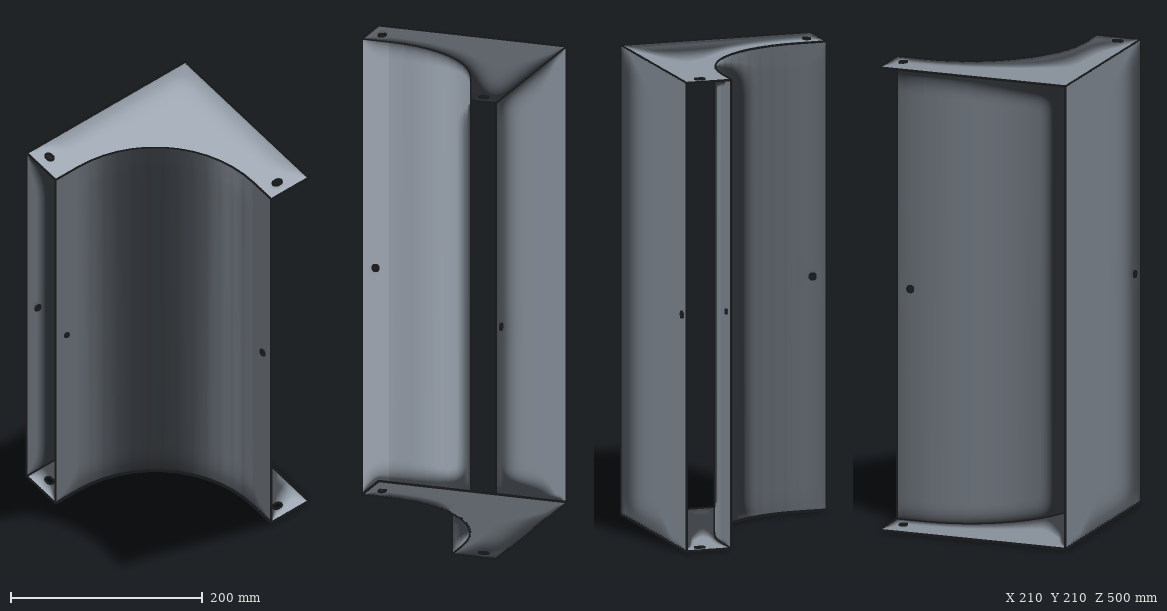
import cadquery as cq

side = 210.0
height = 500.0
sheet = 1.0

arm_width = 50.0
flat_length = 30.0
arc_radius = side - arm_width - flat_length
arc_center_x = side - flat_length
arc_center_y = flat_length

hole_offset = 15.0
access_diameter = 7.0
screw_diameter = 5.0
slot_length = 10.5
slot_width = 7.0
slot_end_offset = 15.0
slot_inset = 20.0
slot_outer_offset = 30.0


def corner_prism(inset, base, prism_height):
    """Corner outline, with its left and concave edges moved inward by inset."""
    left = inset
    flat_x = arm_width - inset
    flat_y = side - arm_width + inset
    diagonal = (arc_radius + inset) * 0.5 ** 0.5
    return (
        cq.Workplane("XY", origin=(0, 0, base))
        .moveTo(left, 0)
        .lineTo(flat_x, 0)
        .lineTo(flat_x, arc_center_y)
        .threePointArc(
            (arc_center_x - diagonal, arc_center_y + diagonal),
            (arc_center_x, flat_y),
        )
        .lineTo(side, flat_y)
        .lineTo(side, side)
        .lineTo(left, side)
        .close()
        .extrude(prism_height)
    )


def hole_along_x(diameter, wall_x):
    """Cutter for a mid-height hole through a wall facing X."""
    return (
        cq.Workplane("YZ", origin=(wall_x, hole_offset, height / 2))
        .circle(diameter / 2)
        .extrude(sheet)
    )


def hole_along_y(diameter, wall_y):
    """Cutter for a mid-height hole through a wall facing Y."""
    return (
        cq.Workplane("XZ", origin=(side - hole_offset, wall_y + sheet, height / 2))
        .circle(diameter / 2)
        .extrude(sheet)
    )


def end_slot(x, y, angle):
    """Cutter for a slot through both end plates."""
    return (
        cq.Workplane("XY", origin=(x, y, 0))
        .slot2D(slot_length, slot_width, angle)
        .extrude(height)
    )


body = corner_prism(0, 0, height)
body = body.cut(corner_prism(sheet, sheet, height - 2 * sheet))

body = body.cut(hole_along_x(access_diameter, 0))
body = body.cut(hole_along_x(screw_diameter, arm_width - sheet))
body = body.cut(hole_along_y(access_diameter, side - arm_width))

body = body.cut(end_slot(slot_inset, slot_end_offset, 0))
body = body.cut(end_slot(side - slot_end_offset, side - slot_outer_offset, 90))

result = body